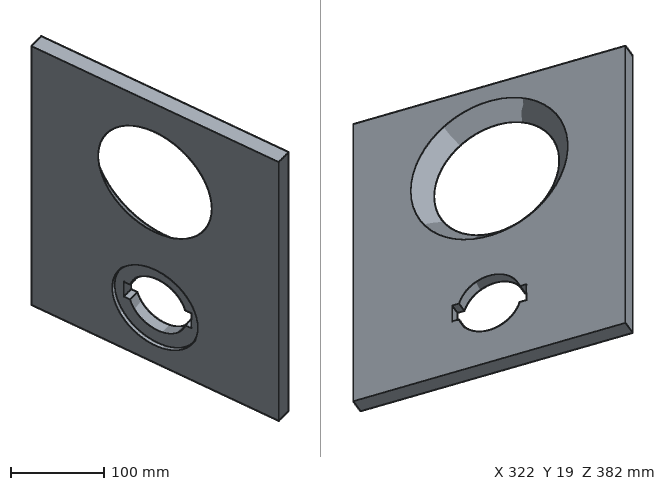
import cadquery as cq

plate_width = 322.0
plate_thickness = 19.0
plate_height = 382.0
front_y = -plate_thickness / 2

window_diameter = 147.5
window_z = 75.5
window_flare = plate_thickness

keyed_hole_z = -109.3
recess_diameter = 111.5
recess_depth = 5.0
bore_diameter = 75.0
key_span = 88.0
key_height = 21.8


def front_plane(z):
    """Sketch plane on the front face at height z, with its normal pointing out of the plate."""
    return cq.Workplane("XZ", origin=(0, front_y, z))


def round_cut(diameter, depth, z):
    """Cylinder running from the front face into the plate."""
    return front_plane(z).circle(diameter / 2).extrude(-depth)


def flared_window():
    """Cone through the plate, narrowest at the front face."""
    front_radius = window_diameter / 2
    return (
        front_plane(window_z)
        .circle(front_radius)
        .workplane(offset=-plate_thickness)
        .circle(front_radius + window_flare)
        .loft(ruled=True)
    )


def keyed_hole():
    """Recess, through bore and the two opposite side notches as one cutting body."""
    recess = round_cut(recess_diameter, recess_depth, keyed_hole_z)
    bore = round_cut(bore_diameter, plate_thickness, keyed_hole_z)
    notches = front_plane(keyed_hole_z).rect(key_span, key_height).extrude(-plate_thickness)
    return recess.union(bore).union(notches)


plate = cq.Workplane("XY").box(plate_width, plate_thickness, plate_height)
result = plate.cut(flared_window()).cut(keyed_hole())